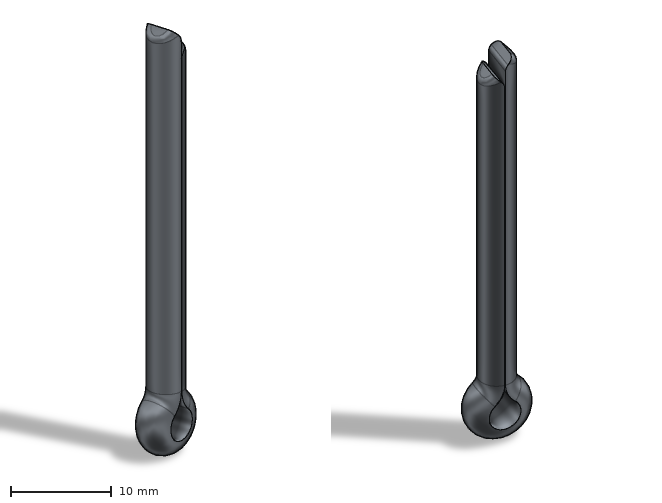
import cadquery as cq
import math

overall_length = 46.8
eye_diameter = 7.35
pin_diameter = 4.0
leg_gap = 0.1
bend_start_angle = 50.0
leg_step = 1.95
tip_slope = 45.0
tip_rounding = 0.95

eye_radius = eye_diameter / 2
pin_radius = pin_diameter / 2
half_gap = leg_gap / 2
ridge_offset = pin_radius / 2
wire_radius = eye_radius - pin_radius

bend_angle = math.radians(bend_start_angle)
bend_radius = wire_radius * math.cos(bend_angle) / (1 - math.cos(bend_angle))
bend_height = (wire_radius + bend_radius) * math.sin(bend_angle)
long_leg_top = overall_length - eye_radius
short_leg_top = long_leg_top - leg_step


def wire_section(plane):
    """Half-round outline: flat at half the leg gap, round towards local +Y."""
    half_width = math.sqrt(pin_radius**2 - half_gap**2)
    return (
        cq.Workplane(plane)
        .moveTo(-half_width, half_gap)
        .threePointArc((0, pin_radius), (half_width, half_gap))
        .close()
    )


def make_eye():
    """Open ring, running from one bend round the bottom to the other."""
    start = cq.Plane(
        origin=(0, wire_radius * math.cos(bend_angle), wire_radius * math.sin(bend_angle)),
        xDir=(-1, 0, 0),
        normal=(0, math.sin(bend_angle), -math.cos(bend_angle)),
    )
    ring_angle = 180 + 2 * bend_start_angle
    return wire_section(start).revolve(ring_angle, (0, -wire_radius), (1, -wire_radius))


def leg_base_plane():
    """Horizontal plane where the bends end and the legs begin."""
    return cq.Plane(origin=(0, 0, bend_height), xDir=(1, 0, 0), normal=(0, 0, 1))


def make_bend():
    """Bend joining the eye to the +Y leg."""
    return wire_section(leg_base_plane()).revolve(bend_start_angle, (0, bend_radius), (1, bend_radius))


def tip_cutter(top, side):
    """Everything above a plane falling from the tip ridge towards the given Y side."""
    reach = pin_diameter
    rise = reach * math.tan(math.radians(tip_slope))
    return (
        cq.Workplane("YZ")
        .moveTo(ridge_offset + side * reach, top - rise)
        .lineTo(ridge_offset - side * reach, top + rise)
        .lineTo(ridge_offset + side * reach, top + rise)
        .close()
        .extrude(pin_radius, both=True)
    )


def make_leg(top):
    """+Y leg with a roof-shaped tip whose ridge lies at height top."""
    blank_height = top + pin_radius - bend_height
    leg = wire_section(leg_base_plane()).extrude(blank_height)
    leg = leg.cut(tip_cutter(top, 1)).cut(tip_cutter(top, -1))

    leg = leg.edges("|X").edges("<Y").edges(">Z").fillet(tip_rounding)
    return leg.edges("%ELLIPSE").edges(">Y").fillet(tip_rounding)


short_side = make_bend().union(make_leg(short_leg_top))
long_side = make_bend().union(make_leg(long_leg_top)).mirror("XZ")
result = make_eye().union(short_side).union(long_side)